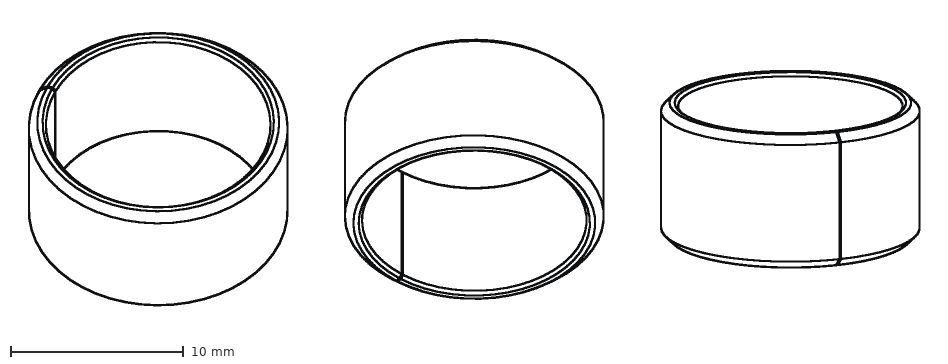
import cadquery as cq

outer_diameter = 15.0
bore_diameter = 13.0
height = 8.0
outer_chamfer = 0.5
bore_chamfer = 0.2
slit_width = 0.1

outer_radius = outer_diameter / 2
bore_radius = bore_diameter / 2
half_height = height / 2


def ring():
    """Revolve the wall section, with its four chamfered corners, about Z from the -X side."""
    outer_face_end = half_height - outer_chamfer
    bore_face_end = half_height - bore_chamfer
    section = (
        cq.Workplane(cq.Plane(origin=(0, 0, 0), xDir=(-1, 0, 0), normal=(0, 1, 0)))
        .moveTo(bore_radius, -bore_face_end)
        .lineTo(bore_radius + bore_chamfer, -half_height)
        .lineTo(outer_radius - outer_chamfer, -half_height)
        .lineTo(outer_radius, -outer_face_end)
        .lineTo(outer_radius, outer_face_end)
        .lineTo(outer_radius - outer_chamfer, half_height)
        .lineTo(bore_radius + bore_chamfer, half_height)
        .lineTo(bore_radius, bore_face_end)
        .close()
    )
    return section.revolve(360, (0, 0, 0), (0, 1, 0))


def slit():
    """Thin full-height cutter through the -X wall, with one face on the Y = 0 plane."""
    cutter = cq.Workplane("XY").box(outer_diameter, slit_width, 2 * height)
    return cutter.translate((-outer_radius, slit_width / 2, 0))


result = ring().cut(slit())